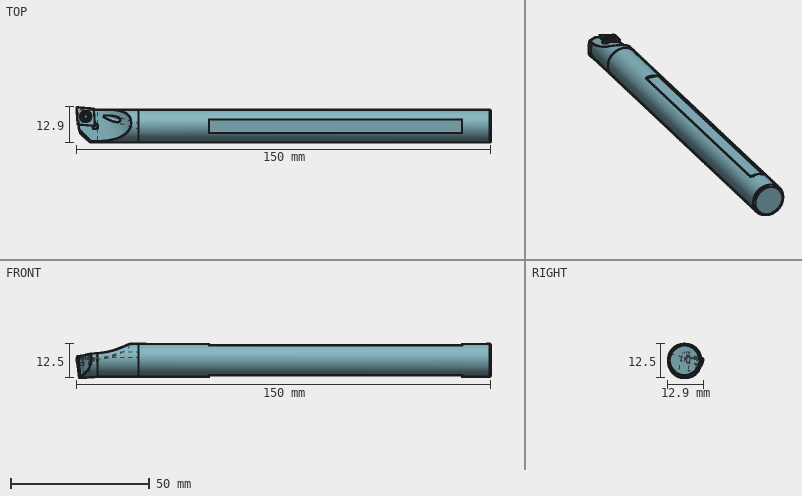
import cadquery as cq
import math


LENGTH = 150.0
BAR_DIAMETER = 12.0
BAR_RADIUS = BAR_DIAMETER / 2
JOINT_X = 22.5
END_CHAMFER = 0.6
FLAT_START = 48.0
FLAT_END = 139.5
FLAT_WIDTH = 5.0
FLAT_HEIGHT = math.sqrt(BAR_RADIUS**2 - (FLAT_WIDTH / 2) ** 2)

TIP_X = -0.05
TIP_Y = 6.9
TIP_Z = 0.3
PITCH = 4.0
ROLL = 11.0
OVERSIZE = 45.0

NOSE_X = 7.7
FRONT_RELIEF = 0.3
FRONT_EDGE_LENGTH = 8.1
BEVEL_ANGLE = 45.0

GULLET_CENTER = (1.5, -6.0)
GULLET_RECESS = 0.6
GULLET_FLOOR_RADIUS = 8.7
GULLET_FILLET = 15.8
GULLET_SWEEP = 50.0

COOLANT_DIAMETER = 2.0
COOLANT_OUTLET_X = 9.0
COOLANT_OUTLET_Y = 4.0
COOLANT_Z = 2.0

INSERT_CIRCLE = 6.3
INSERT_ANGLE = 80.0
INSERT_SETTING = 5.0
INSERT_THICKNESS = 2.4
INSERT_CLEARANCE = 7.0
NOSE_RADIUS = 0.5
INSERT_HOLE = 2.9
SINK_DIAMETER = 4.0
SINK_DEPTH = 0.8
CORNER_RELIEF = 2.0

SCREW_HEAD = 3.8
SCREW_PROUD = 0.2
SCREW_SHANK = 2.5
SCREW_DEPTH = 5.3
SOCKET_DIAMETER = 2.3
SOCKET_CORE = 1.7
SOCKET_LOBE = 0.6
SOCKET_LOBES = 6
SOCKET_DEPTH = 0.9

INSERT_EDGE = INSERT_CIRCLE / math.sin(math.radians(INSERT_ANGLE))
HALF_DIAGONAL = INSERT_EDGE * math.cos(math.radians(INSERT_ANGLE / 2))
BISECTOR = math.radians(-INSERT_SETTING - INSERT_ANGLE / 2)
INSERT_CENTER = (HALF_DIAGONAL * math.cos(BISECTOR), HALF_DIAGONAL * math.sin(BISECTOR))
INNER_CORNER = (2 * INSERT_CENTER[0], 2 * INSERT_CENTER[1])


def rake_plane(height=0.0):
    """Workplane on the tilted rake face, raised along its normal."""
    pitch = math.radians(PITCH)
    roll = math.radians(ROLL)
    normal = (-math.sin(pitch) * math.cos(roll), math.sin(roll), math.cos(pitch) * math.cos(roll))
    plane = cq.Plane((TIP_X, TIP_Y, TIP_Z), (math.cos(pitch), 0, math.sin(pitch)), normal)
    return cq.Workplane(plane).workplane(offset=height)


def polar(start, length, angle):
    """Point at a distance and an angle in degrees from a start point."""
    turn = math.radians(angle)
    return (start[0] + length * math.cos(turn), start[1] + length * math.sin(turn))


def make_shank():
    shank = cq.Workplane("YZ", origin=(JOINT_X, 0, 0)).circle(BAR_RADIUS).extrude(LENGTH - JOINT_X)
    shank = shank.faces(">X").chamfer(END_CHAMFER)
    flat_length = FLAT_END - FLAT_START
    flat_middle = (FLAT_START + FLAT_END) / 2
    for side in (1, -1):
        cutter = cq.Workplane().box(flat_length, BAR_DIAMETER, BAR_DIAMETER)
        shank = shank.cut(cutter.translate((flat_middle, 0, side * (FLAT_HEIGHT + BAR_RADIUS))))
    return shank


def make_head_blank():
    """Round neck, with a nose of the same diameter dipping by the pitch angle."""
    neck = cq.Workplane("YZ", origin=(NOSE_X, 0, 0)).circle(BAR_RADIUS).extrude(JOINT_X - NOSE_X)
    nose = cq.Workplane("YZ").circle(BAR_RADIUS).extrude(OVERSIZE, both=True)
    nose = nose.rotate((0, 0, 0), (0, 1, 0), -PITCH).translate((NOSE_X, 0, 0))
    limit = cq.Workplane("YZ", origin=(NOSE_X, 0, 0)).rect(OVERSIZE, OVERSIZE).extrude(-OVERSIZE)
    return neck.union(nose.intersect(limit))


def make_front_trim():
    """Prism whose front edge follows the insert and then bevels back."""
    lead = INSERT_SETTING - 90
    front = (FRONT_RELIEF, 0)
    bevel_start = polar(front, FRONT_EDGE_LENGTH, lead)
    outline = [
        polar(front, -OVERSIZE, lead),
        bevel_start,
        polar(bevel_start, OVERSIZE, -BEVEL_ANGLE),
        (OVERSIZE, OVERSIZE),
    ]
    return rake_plane().polyline(outline).close().extrude(OVERSIZE, both=True)


def make_gullet():
    """Space above the rake face, ending in a concave sweep up to the bar surface."""
    sweep = math.radians(GULLET_SWEEP)

    def rise(angle):
        radius = GULLET_FLOOR_RADIUS + GULLET_FILLET * math.sin(angle)
        return (radius, GULLET_FILLET * (1 - math.cos(angle)))

    top = rise(sweep)
    normal_plane = rake_plane(-GULLET_RECESS).center(*GULLET_CENTER).plane
    section_plane = cq.Plane(normal_plane.origin, normal_plane.xDir, -normal_plane.yDir)
    profile = cq.Workplane(section_plane).lineTo(GULLET_FLOOR_RADIUS, 0)
    profile = profile.threePointArc(rise(sweep / 2), top).lineTo(0, top[1]).close()
    return profile.revolve(360, (0, 0), (0, 1))


def make_coolant_hole():
    """Slanted drilling from the middle of the joint face to the gullet."""
    start = cq.Vector(JOINT_X, 0, COOLANT_Z)
    run = cq.Vector(COOLANT_OUTLET_X, COOLANT_OUTLET_Y, COOLANT_Z) - start
    return cq.Workplane(cq.Solid.makeCylinder(COOLANT_DIAMETER / 2, run.Length, start, run))


def make_insert_blank():
    first = polar((0, 0), INSERT_EDGE, -INSERT_SETTING)
    last = polar((0, 0), INSERT_EDGE, -INSERT_SETTING - INSERT_ANGLE)
    sketch = cq.Sketch().polygon([(0, 0), first, INNER_CORNER, last, (0, 0)]).vertices().fillet(NOSE_RADIUS)
    return rake_plane().placeSketch(sketch).extrude(-INSERT_THICKNESS, taper=INSERT_CLEARANCE)


def make_insert():
    hole = rake_plane().center(*INSERT_CENTER).circle(INSERT_HOLE / 2).extrude(-INSERT_THICKNESS)
    sink = rake_plane().center(*INSERT_CENTER).circle(SINK_DIAMETER / 2)
    sink = sink.workplane(offset=-SINK_DEPTH).circle(INSERT_HOLE / 2).loft()
    return make_insert_blank().cut(hole).cut(sink)


def make_screw():
    shank = rake_plane().center(*INSERT_CENTER).circle(SCREW_SHANK / 2).extrude(-SCREW_DEPTH)
    cone = rake_plane().center(*INSERT_CENTER).circle(SCREW_HEAD / 2)
    cone = cone.workplane(offset=-SINK_DEPTH).circle(SCREW_SHANK / 2).loft()
    cap = rake_plane().center(*INSERT_CENTER).circle(SCREW_HEAD / 2).extrude(SCREW_PROUD)
    floor = rake_plane(SCREW_PROUD).center(*INSERT_CENTER)
    lobe_circle = (SOCKET_DIAMETER - SOCKET_LOBE) / 2
    core = floor.circle(SOCKET_CORE / 2).extrude(-SOCKET_DEPTH)
    lobes = floor.polarArray(lobe_circle, 0, 360, SOCKET_LOBES).circle(SOCKET_LOBE / 2).extrude(-SOCKET_DEPTH)
    return shank.union(cone).union(cap).cut(core.union(lobes))


def make_head():
    head = make_head_blank().intersect(make_front_trim()).cut(make_gullet()).cut(make_coolant_hole())
    corner = rake_plane().center(*INNER_CORNER).circle(CORNER_RELIEF / 2).extrude(-INSERT_THICKNESS)
    screw_hole = rake_plane().center(*INSERT_CENTER).circle(SCREW_SHANK / 2).extrude(-SCREW_DEPTH)
    return head.cut(make_insert_blank()).cut(corner).cut(screw_hole)


shank = make_shank()
head = make_head()
insert = make_insert()
screw = make_screw()

bodies = [shank, head, insert, screw]
result = cq.Compound.makeCompound([body.solids().val() for body in bodies])